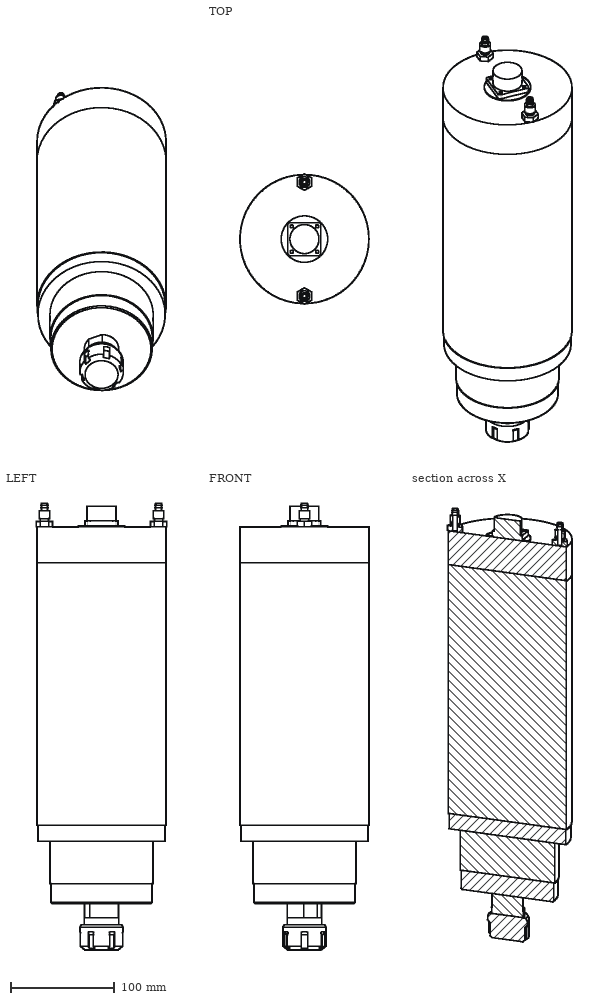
import cadquery as cq
import math

NUT_TOP = 24.5
FLATS_BOTTOM = 31.0
COVER_BOTTOM = 45.0
NOSE_BOTTOM = 64.5
FLANGE_BOTTOM = 105.0
HOUSING_BOTTOM = 120.5
CAP_BOTTOM = 374.0
CAP_TOP = 409.0
CONNECTOR_TOP = 429.0
FITTING_TOP = 432.0

HOUSING_DIAMETER = 125.0
FLANGE_DIAMETER = 123.0
NOSE_DIAMETER = 100.0
COVER_DIAMETER = 98.0
COVER_CHAMFER = 1.5

COLLAR_DIAMETER = 33.5
SHAFT_DIAMETER = 33.3
ACROSS_FLATS = 30.2
FLATS_TURN = 23

NUT_DIAMETER = 42.0
NUT_TIP_DIAMETER = 32.0
NUT_TIP_HEIGHT = 4.0
NUT_TOP_TAPER_WIDTH = 1.5
NUT_TOP_TAPER_HEIGHT = 2.5
SLOT_COUNT = 6
SLOT_WIDTH = 6.0
SLOT_DEPTH = 2.5
SLOT_TOP = 17.5
SLOT_RUNOUT = 3.0

SEAL_DIAMETER = 45.0
SEAL_THICKNESS = 1.0
PLATE_SIDE = 32.0
PLATE_RISE = 5.5
PLATE_TOP = CAP_TOP + PLATE_RISE
PLATE_CORNER_RADIUS = 2.0
SCREW_HOLE_SPACING = 24.5
SCREW_HOLE_DIAMETER = 3.0
PLUG_DIAMETER = 28.0

FITTING_REACH = 63.0
HEX_SIDES = 6
FITTING_HEX_FLATS = 14.0
FITTING_HEX_CORNERS = FITTING_HEX_FLATS / math.cos(math.pi / HEX_SIDES)
FITTING_OFFSET = FITTING_REACH - FITTING_HEX_CORNERS / 2
FITTING_HEX_HEIGHT = 5.0
FITTING_NECK_DIAMETER = 8.0
FITTING_NECK_HEIGHT = 2.5
FITTING_BODY_DIAMETER = 10.5
FITTING_BODY_HEIGHT = 7.8
BARB_ROOT_DIAMETER = 6.0
BARB_TOP_DIAMETER = 5.5
BARB_RIM_DIAMETER = 7.0
BARB_HEIGHT = 2.0
BARB_COUNT = 2
FITTING_BORE_DIAMETER = 4.0


def cylinder(diameter, bottom, top):
    """Cylinder on the Z axis between two levels."""
    return cq.Workplane("XY").workplane(offset=bottom).circle(diameter / 2).extrude(top - bottom)


def make_front_cover():
    cover = cylinder(COVER_DIAMETER, COVER_BOTTOM, NOSE_BOTTOM)
    return cover.faces("<Z").edges().chamfer(COVER_CHAMFER)


def make_spindle():
    flats_height = COVER_BOTTOM - FLATS_BOTTOM
    collar = cylinder(COLLAR_DIAMETER, NUT_TOP, FLATS_BOTTOM)
    flat_section = cylinder(SHAFT_DIAMETER, FLATS_BOTTOM, COVER_BOTTOM).intersect(
        cq.Workplane("XY")
        .workplane(offset=FLATS_BOTTOM)
        .rect(SHAFT_DIAMETER, ACROSS_FLATS)
        .extrude(flats_height)
        .rotate((0, 0, 0), (0, 0, 1), FLATS_TURN)
    )
    return collar.union(flat_section)


def make_nut():
    radius = NUT_DIAMETER / 2
    nut = (
        cq.Workplane("XZ")
        .moveTo(0, 0)
        .lineTo(NUT_TIP_DIAMETER / 2, 0)
        .lineTo(radius, NUT_TIP_HEIGHT)
        .lineTo(radius, NUT_TOP - NUT_TOP_TAPER_HEIGHT)
        .lineTo(radius - NUT_TOP_TAPER_WIDTH, NUT_TOP)
        .lineTo(0, NUT_TOP)
        .close()
        .revolve(360, (0, 0, 0), (0, 1, 0))
    )
    floor = radius - SLOT_DEPTH
    slot = (
        cq.Workplane("XZ")
        .moveTo(floor, 0)
        .lineTo(NUT_DIAMETER, 0)
        .lineTo(NUT_DIAMETER, SLOT_TOP)
        .lineTo(radius, SLOT_TOP)
        .lineTo(floor, SLOT_TOP - SLOT_RUNOUT)
        .close()
        .extrude(SLOT_WIDTH / 2, both=True)
    )
    pitch = 360 / SLOT_COUNT
    for index in range(SLOT_COUNT):
        nut = nut.cut(slot.rotate((0, 0, 0), (0, 0, 1), pitch * (index + 0.5)))
    return nut


def make_connector():
    seal_top = CAP_TOP + SEAL_THICKNESS
    plate = (
        cq.Workplane("XY")
        .workplane(offset=seal_top)
        .rect(PLATE_SIDE, PLATE_SIDE)
        .extrude(PLATE_TOP - seal_top)
        .edges("|Z")
        .fillet(PLATE_CORNER_RADIUS)
        .faces(">Z")
        .workplane()
        .rect(SCREW_HOLE_SPACING, SCREW_HOLE_SPACING, forConstruction=True)
        .vertices()
        .hole(SCREW_HOLE_DIAMETER)
    )
    seal = cylinder(SEAL_DIAMETER, CAP_TOP, seal_top)
    plug = cylinder(PLUG_DIAMETER, PLATE_TOP, CONNECTOR_TOP)
    return seal.union(plate).union(plug)


def make_fitting(y):
    neck_bottom = CAP_TOP + FITTING_HEX_HEIGHT
    body_bottom = neck_bottom + FITTING_NECK_HEIGHT
    body_top = body_bottom + FITTING_BODY_HEIGHT
    root_top = FITTING_TOP - BARB_COUNT * BARB_HEIGHT

    hexagon = (
        cq.Workplane("XY")
        .workplane(offset=CAP_TOP)
        .polygon(HEX_SIDES, FITTING_HEX_CORNERS)
        .extrude(FITTING_HEX_HEIGHT)
        .rotate((0, 0, 0), (0, 0, 1), 90)
    )
    fitting = (
        hexagon
        .union(cylinder(FITTING_NECK_DIAMETER, neck_bottom, body_bottom))
        .union(cylinder(FITTING_BODY_DIAMETER, body_bottom, body_top))
        .union(cylinder(BARB_ROOT_DIAMETER, body_top, root_top))
    )
    for index in range(BARB_COUNT):
        barb = (
            cq.Workplane("XY")
            .workplane(offset=root_top + index * BARB_HEIGHT)
            .circle(BARB_RIM_DIAMETER / 2)
            .workplane(offset=BARB_HEIGHT)
            .circle(BARB_TOP_DIAMETER / 2)
            .loft()
        )
        fitting = fitting.union(barb)
    bore = cylinder(FITTING_BORE_DIAMETER, CAP_TOP, FITTING_TOP)
    return fitting.cut(bore).translate((0, y, 0))


rear_cap = cylinder(HOUSING_DIAMETER, CAP_BOTTOM, CAP_TOP)
housing = cylinder(HOUSING_DIAMETER, HOUSING_BOTTOM, CAP_BOTTOM)
flange = cylinder(FLANGE_DIAMETER, FLANGE_BOTTOM, HOUSING_BOTTOM)
nose = cylinder(NOSE_DIAMETER, NOSE_BOTTOM, FLANGE_BOTTOM)
front_cover = make_front_cover()
spindle = make_spindle()
nut = make_nut()
connector = make_connector()
fittings = [make_fitting(side * FITTING_OFFSET) for side in (-1, 1)]

result = cq.Compound.makeCompound([
    rear_cap.val(),
    housing.val(),
    flange.val(),
    nose.val(),
    front_cover.val(),
    spindle.val(),
    nut.val(),
    connector.val(),
    *[fitting.val() for fitting in fittings],
])